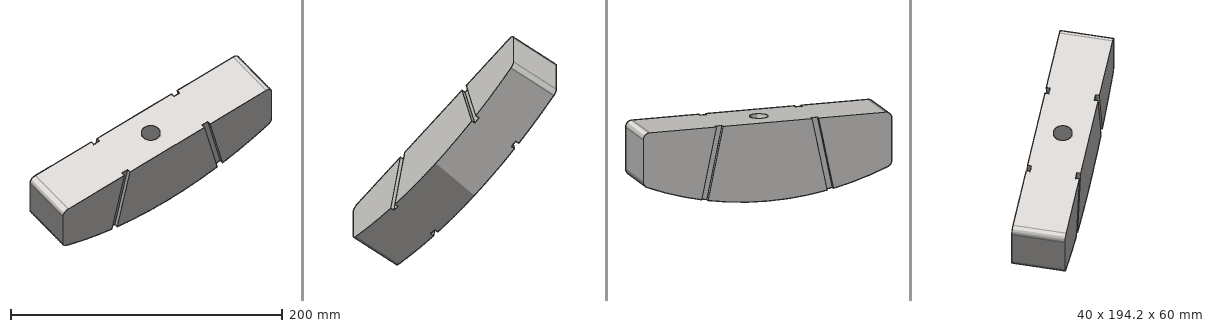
import cadquery as cq
import math

width = 40.0
length = 194.2
height = 60.0

belly_radius = 250.0
corner_radius = 5.0

groove_width = 5.0
groove_depth = 3.0
groove_tilt = 12.0
groove_top_offset = 37.3

hole_diameter = 14.0
hole_depth = 30.0
drill_point_angle = 118.0


def make_body():
    half_length = length / 2
    belly_rise = belly_radius - math.sqrt(belly_radius**2 - half_length**2)
    end_bottom = belly_rise - height
    profile = (
        cq.Workplane("YZ")
        .moveTo(-half_length, 0)
        .lineTo(-half_length, end_bottom)
        .threePointArc((0, -height), (half_length, end_bottom))
        .lineTo(half_length, 0)
        .close()
    )
    return profile.extrude(width / 2, both=True).edges("|X").fillet(corner_radius)


def make_groove(x_side, y_side):
    """Slanted bar that runs past the top and underside, spreading outward as it descends."""
    bar_length = 3 * height
    return (
        cq.Workplane("XY")
        .box(2 * groove_depth, groove_width, bar_length)
        .rotate((0, 0, 0), (1, 0, 0), y_side * groove_tilt)
        .translate((x_side * width / 2, y_side * groove_top_offset, 0))
    )


def make_hole():
    hole_radius = hole_diameter / 2
    point_depth = hole_radius / math.tan(math.radians(drill_point_angle / 2))
    return (
        cq.Workplane("XZ")
        .polyline([
            (0, 0),
            (hole_radius, 0),
            (hole_radius, -hole_depth),
            (0, -hole_depth - point_depth),
        ])
        .close()
        .revolve(360, (0, 0, 0), (0, 1, 0))
    )


result = make_body()
for x_side in (-1, 1):
    for y_side in (-1, 1):
        result = result.cut(make_groove(x_side, y_side))
result = result.cut(make_hole())